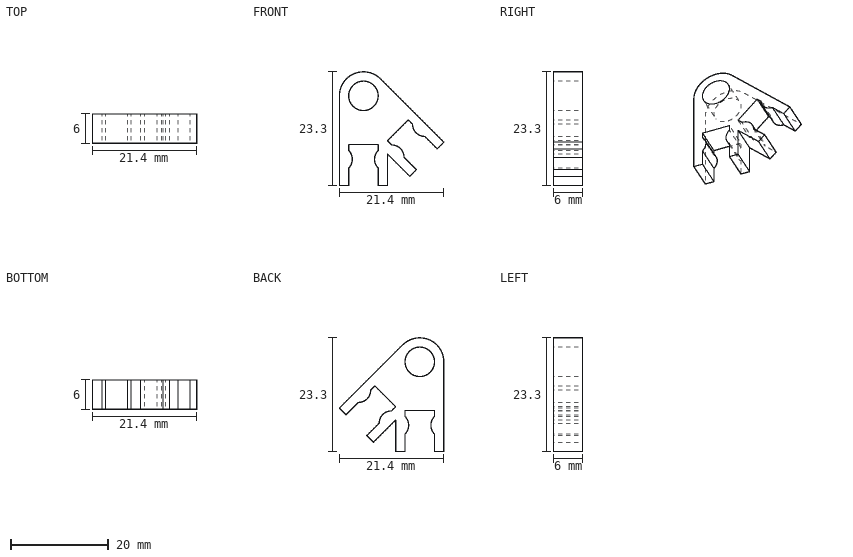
import cadquery as cq
import math

thickness = 6.0
pivot_radius = 3.0
head_radius = 3.5 * math.sqrt(2)
fork_length = 13.0 * math.sqrt(2)
fork_angle = 45.0

slot_width = 6.0
slot_floor_depth = 10.0

bump_radius = 2.55
bump_depth = 13.0
bump_half_angle = math.radians(45.0)


def extrude_through(profile):
    """Extrude a profile sketched on the XZ plane, centred on Y = 0."""
    return profile.extrude(thickness / 2, both=True)


def fork_body():
    """Solid leg hanging from the pivot, with a rounded head."""
    outline = (
        cq.Workplane("XZ")
        .moveTo(-head_radius, -fork_length)
        .lineTo(-head_radius, 0)
        .threePointArc((0, head_radius), (head_radius, 0))
        .lineTo(head_radius, -fork_length)
        .close()
    )
    return extrude_through(outline)


def fork_slot():
    """Open-ended slot narrowed by a pair of facing round bumps."""
    half_width = slot_width / 2
    half_chord = bump_radius * math.sin(bump_half_angle)
    bump_height = bump_radius * (1 - math.cos(bump_half_angle))
    crest = half_width - bump_height
    bump_top = -bump_depth + half_chord
    bump_bottom = -bump_depth - half_chord
    outline = (
        cq.Workplane("XZ")
        .moveTo(-half_width, -slot_floor_depth)
        .lineTo(half_width, -slot_floor_depth)
        .lineTo(half_width, bump_top)
        .threePointArc((crest, -bump_depth), (half_width, bump_bottom))
        .lineTo(half_width, -fork_length)
        .lineTo(-half_width, -fork_length)
        .lineTo(-half_width, bump_bottom)
        .threePointArc((-crest, -bump_depth), (-half_width, bump_top))
        .close()
    )
    return extrude_through(outline)


def swing(body):
    """Turn a body about the pivot axis, carrying its lower end towards +X."""
    return body.rotate((0, 0, 0), (0, 1, 0), -fork_angle)


def pivot_hole():
    return extrude_through(cq.Workplane("XZ").circle(pivot_radius))


forks = fork_body().union(swing(fork_body()))
slots = fork_slot().union(swing(fork_slot()))
result = forks.cut(slots).cut(pivot_hole())